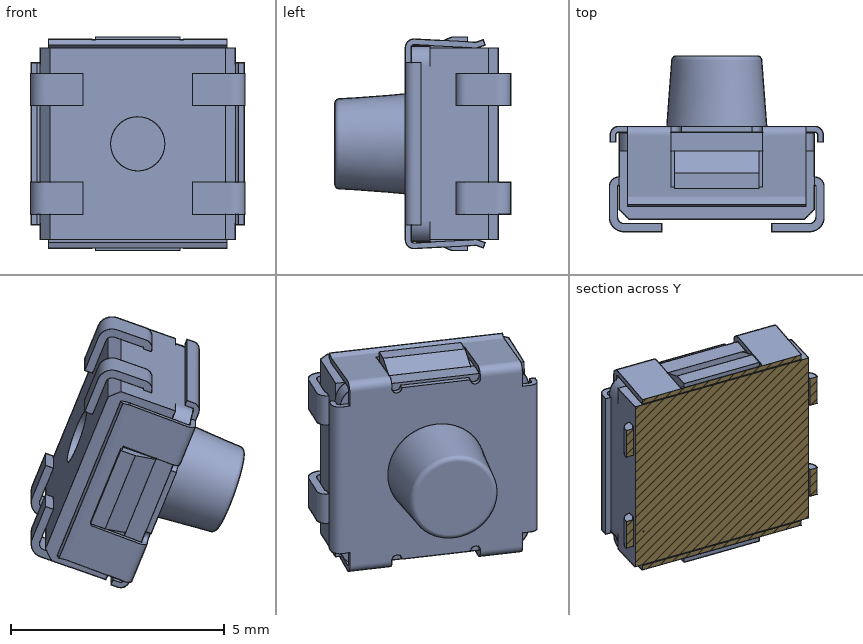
import cadquery as cq
import math


BODY_HALF_X = 2.285
BODY_HALF_Z = 2.245
BODY_BOTTOM = 0.29
BODY_TOP = 1.89
BODY_CHAMFER = 0.23
BOSS_HALF = BODY_HALF_X
BOSS_TOP = 2.325
BOSS_CORNER = 0.46
POCKET_RADIUS = 0.635
POCKET_DEPTH = 0.25

WEDGE_HALF_X = 0.99
WEDGE_TIP_Z = 2.5
WEDGE_ROOT_Z = 2.145
WEDGE_RAMP_END = 1.38
WEDGE_BOTTOM = 1.01

SHEET = 0.135
COVER_TOP = 2.47
COVER_BEND = 0.07
LIP_OUTER_X = 2.495
LIP_BOTTOM = 2.1
LIP_HALF_Z = 1.895
ARM_HALF_X = 2.09
ARM_CORNER_Z = 2.465
ARM_TILT = 3.0
ARM_KINK_Y = 0.81
FLARE_ANGLE = 20.0
FLARE_DROP = 0.165
FLARE_BEND = 0.095
WINDOW_HALF_X = 1.07
WINDOW_BOTTOM = 1.05
WINDOW_NOTCH_Z = 2.22
RELIEF_RADIUS = 0.12

BUTTON_BASE_RADIUS = 1.17
BUTTON_TOP = 4.12
BUTTON_DRAFT = 4.3
BUTTON_ROUND = 0.115

LEAD_THICKNESS = 0.195
LEAD_WIDTH = 0.755
LEAD_CENTRE_Z = 1.275
LEAD_OUTER_X = 2.515
LEAD_TOP = 1.29
LEAD_FOOT_END_X = 1.285
LEAD_TOP_BEND = 0.035
LEAD_FOOT_BEND = 0.15


def box(x0, x1, y0, y1, z0, z1):
    """Box between two opposite corners."""
    return cq.Workplane("XY").box(x1 - x0, y1 - y0, z1 - z0, centered=False).translate((x0, y0, z0))


def mirrored(shape, plane):
    """A shape together with its mirror image."""
    return shape.union(shape.mirror(plane))


def left_normal(start, end):
    """Unit vector pointing left of the direction from start to end."""
    length = math.dist(start, end)
    return ((start[1] - end[1]) / length, (end[0] - start[0]) / length)


def bent_strip(plane, path, thickness, bend_radii, half_width):
    """Sheet strip to the left of a path, with concentric bends of the given inside radii."""
    normals = [left_normal(a, b) for a, b in zip(path, path[1:])]
    normals = [normals[0]] + normals + [normals[-1]]
    offset_path = []
    for point, before, after in zip(path, normals, normals[1:]):
        mitre = thickness / (1 + before[0] * after[0] + before[1] * after[1])
        offset_path.append((
            point[0] + mitre * (before[0] + after[0]),
            point[1] + mitre * (before[1] + after[1]),
        ))

    workplane = cq.Workplane(plane)
    strip = workplane.polyline(path + offset_path[::-1]).close().extrude(half_width, both=True)
    for i, inside_radius in enumerate(bend_radii, start=1):
        before, after = normals[i], normals[i + 1]
        turns_left = before[0] * after[1] - before[1] * after[0] > 0
        outside_radius = inside_radius + thickness
        path_radius = outside_radius if turns_left else inside_radius
        offset_radius = inside_radius if turns_left else outside_radius
        for corner, radius in ((path[i], path_radius), (offset_path[i], offset_radius)):
            nearest = cq.NearestToPointSelector(workplane.plane.toWorldCoords(corner).toTuple())
            strip = strip.edges(nearest).fillet(radius)
    return strip


def make_housing():
    """Chamfered body with a rounded boss behind the cover and a round pocket underneath."""
    body = box(-BODY_HALF_X, BODY_HALF_X, BODY_BOTTOM, BODY_TOP, -BODY_HALF_Z, BODY_HALF_Z)
    body = body.faces("<Y").edges("|Z").chamfer(BODY_CHAMFER)
    boss = box(-BOSS_HALF, BOSS_HALF, BODY_TOP, BOSS_TOP, -BOSS_HALF, BOSS_HALF)
    boss = boss.edges("|Y").fillet(BOSS_CORNER)
    pocket_floor = BODY_BOTTOM + POCKET_DEPTH
    pocket = cq.Workplane("XZ", origin=(0, pocket_floor, 0)).circle(POCKET_RADIUS).extrude(POCKET_DEPTH)
    return body.union(boss).cut(pocket)


def make_wedges():
    """Ramped latches on the +Z and -Z sides."""
    wedge = (
        cq.Workplane("YZ")
        .polyline([
            (BODY_TOP, WEDGE_ROOT_Z),
            (BODY_TOP, BOSS_HALF),
            (WEDGE_RAMP_END, WEDGE_TIP_Z),
            (WEDGE_BOTTOM, WEDGE_TIP_Z),
            (WEDGE_BOTTOM, WEDGE_ROOT_Z),
        ])
        .close()
        .extrude(WEDGE_HALF_X, both=True)
    )
    return mirrored(wedge, "XY")


def make_cover():
    """Top plate with short lips on the X sides, and flared arms on the Z sides with latch windows.

    Each window runs up into the plate and ends in a straight tab between two round bend reliefs.
    """
    lip_path = [
        (LIP_OUTER_X, LIP_BOTTOM),
        (LIP_OUTER_X, COVER_TOP),
        (-LIP_OUTER_X, COVER_TOP),
        (-LIP_OUTER_X, LIP_BOTTOM),
    ]
    lips = bent_strip("XY", lip_path, SHEET, [COVER_BEND] * 2, LIP_HALF_Z)

    kink_z = ARM_CORNER_Z - (COVER_TOP - ARM_KINK_Y) * math.tan(math.radians(ARM_TILT))
    flare_z = kink_z + FLARE_DROP * math.tan(math.radians(FLARE_ANGLE))
    arm_path = [
        (ARM_KINK_Y - FLARE_DROP, -flare_z),
        (ARM_KINK_Y, -kink_z),
        (COVER_TOP, -ARM_CORNER_Z),
    ]
    arm_path += [(y, -z) for y, z in reversed(arm_path)]
    bends = [FLARE_BEND, COVER_BEND, COVER_BEND, FLARE_BEND]
    arms = bent_strip("YZ", arm_path, SHEET, bends, ARM_HALF_X)

    window = box(-WINDOW_HALF_X, WINDOW_HALF_X, WINDOW_BOTTOM, COVER_TOP, WINDOW_NOTCH_Z, WEDGE_TIP_Z)
    relief_x = WINDOW_HALF_X - RELIEF_RADIUS
    reliefs = (
        cq.Workplane("XZ", origin=(0, COVER_TOP, 0))
        .pushPoints([(-relief_x, WINDOW_NOTCH_Z), (relief_x, WINDOW_NOTCH_Z)])
        .circle(RELIEF_RADIUS)
        .extrude(SHEET)
    )
    window = window.union(reliefs)
    return lips.union(arms).cut(mirrored(window, "XY"))


def make_button():
    """Tapered round button standing on the boss."""
    height = BUTTON_TOP - COVER_TOP
    button = (
        cq.Workplane("XZ", origin=(0, COVER_TOP, 0))
        .circle(BUTTON_BASE_RADIUS)
        .extrude(-height, taper=BUTTON_DRAFT)
        .faces(">Y")
        .edges()
        .fillet(BUTTON_ROUND)
    )
    root = (
        cq.Workplane("XZ", origin=(0, COVER_TOP, 0))
        .circle(BUTTON_BASE_RADIUS)
        .extrude(COVER_TOP - BOSS_TOP)
    )
    return button.union(root)


def make_leads():
    """Four bent leads that leave the body sides and turn inwards as feet."""
    path = [
        (LEAD_FOOT_END_X, 0),
        (LEAD_OUTER_X, 0),
        (LEAD_OUTER_X, LEAD_TOP),
        (BODY_HALF_X - LEAD_THICKNESS, LEAD_TOP),
    ]
    lead = bent_strip("XY", path, LEAD_THICKNESS, [LEAD_FOOT_BEND, LEAD_TOP_BEND], LEAD_WIDTH / 2)
    return mirrored(mirrored(lead.translate((0, 0, LEAD_CENTRE_Z)), "XY"), "YZ")


result = (
    make_housing()
    .union(make_wedges())
    .union(make_cover())
    .union(make_button())
    .union(make_leads())
)